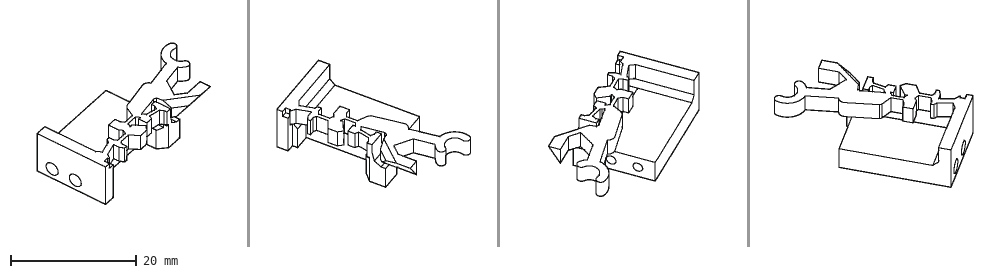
import cadquery as cq
import math

base_top = 4.0
arm_bottom = 5.0
top = 8.0

body_width = 13.63
wall_thickness = 2.08
wall_bevel = 0.95
wall_notch = 1.0
plate_width = 9.38
plate_end = 18.57
shelf_width = 12.2
pad_start = 15.58
pad_end = 19.98
pad_bevel_end = pad_start + body_width - shelf_width
back_corner_x = 8.55
overlap = 0.15

anchor_left = 10.57
anchor_front = 16.53
anchor_back = 17.47
post_front = 16.45
post_back = 17.9
flare_front = 15.65
flare_back = 19.15
flare_left = 9.32

lower_blade = (11.33, 11.98)
upper_blade = (9.68, 10.3)
anchor_blade = lower_blade

bent_blade_start = 2.65
crossbar_front = 5.13
crossbar_middle = 5.5
crossbar_back = 6.05
lower_blade_start = 6.35
lower_blade_end = 8.43
block_back = 10.17
upper_blade_start = 10.6
upper_blade_end = 12.6
anchor_blade_start = 14.1

finger_tip_x = 15.58
finger_end = 25.6
finger_bend = (finger_tip_x, 21.55)
finger_root = (12.98, 18.65)
finger_chamfer = 1.0

hook_center = (7.12, 29.02)
hook_inner_radius = 1.65
hook_outer_radius = 3.15
hook_tip_radius = (hook_outer_radius - hook_inner_radius) / 2
hook_mid_radius = (hook_outer_radius + hook_inner_radius) / 2
left_tip_angle = 161.0
right_tip_angle = 324.0
stem_left_angle = 259.5
stem_right_angle = 298.0

hole_places = (3.0, 7.6)
hole_height = 2.0
bore_radius = 1.2
exit_radius = 0.82
bore_depth = wall_thickness + wall_bevel
cone_slope = 30.0


def polar(center, radius, angle):
    """Point at a distance and a direction in degrees from a center."""
    turn = math.radians(angle)
    return (center[0] + radius * math.cos(turn), center[1] + radius * math.sin(turn))


def inner_point(angle):
    return polar(hook_center, hook_inner_radius, angle)


def outer_point(angle):
    return polar(hook_center, hook_outer_radius, angle)


def tip_point(angle, turn):
    """Farthest point of the round hook tip at an angle; the turn leads out along the hook's run."""
    return polar(polar(hook_center, hook_mid_radius, angle), hook_tip_radius, angle + turn)


def block(x_range, y_range, z_range):
    """Box between the given limits."""
    size = [high - low for low, high in (x_range, y_range, z_range)]
    corner = (x_range[0], y_range[0], z_range[0])
    return cq.Workplane("XY").box(*size, centered=False).translate(corner)


def make_base():
    """Plate with a pad at its back right corner that carries the post."""
    outline = [
        (0, 0),
        (plate_width, 0),
        (plate_width, pad_start),
        (shelf_width, pad_start),
        (body_width, pad_bevel_end),
        (body_width, pad_end),
        (back_corner_x + pad_end - plate_end, pad_end),
        (back_corner_x, plate_end),
        (0, plate_end),
    ]
    return cq.Workplane("XY").polyline(outline).close().extrude(base_top)


def make_wall():
    """Front wall, the beveled foot behind it and a square notch in its top back corner."""
    foot_profile = [
        (0, 0),
        (wall_thickness + wall_bevel, 0),
        (wall_thickness + wall_bevel, base_top),
        (wall_thickness, base_top + wall_bevel),
        (0, base_top + wall_bevel),
    ]
    foot = cq.Workplane("YZ").polyline(foot_profile).close().extrude(shelf_width)
    notch = block(
        (body_width - wall_notch, body_width),
        (wall_thickness - wall_notch, wall_thickness),
        (top - wall_notch, top),
    )
    return block((0, body_width), (0, wall_thickness), (0, top)).union(foot).cut(notch)


def make_linkage():
    """Flexure blades, blocks, arm, hook and finger, all cut from one layer."""
    outline = (
        cq.Workplane("XY", origin=(0, 0, arm_bottom))
        .moveTo(10.15, wall_thickness - overlap)
        .lineTo(10.15, wall_thickness)
        .lineTo(11.05, bent_blade_start)
        .lineTo(10.4, crossbar_front)
        .lineTo(9.85, crossbar_middle)
        .lineTo(9.85, crossbar_back)
        .lineTo(10.7, crossbar_back)
        .lineTo(lower_blade[0], lower_blade_start)
        .lineTo(lower_blade[0], lower_blade_end)
        .lineTo(10.6, 8.8)
        .lineTo(10.05, lower_blade_end)
        .lineTo(8.0, lower_blade_end)
        .lineTo(8.0, block_back)
        .lineTo(8.98, block_back)
        .lineTo(upper_blade[0], upper_blade_start)
        .lineTo(upper_blade[0], upper_blade_end)
        .lineTo(7.85, 13.53)
        .lineTo(7.58, 13.9)
        .lineTo(6.6, 19.55)
        .threePointArc((6.8, 20.2), (7.42, 20.65))
        .lineTo(*outer_point(stem_left_angle))
        .threePointArc(outer_point(210), outer_point(left_tip_angle))
        .threePointArc(tip_point(left_tip_angle, -90), inner_point(left_tip_angle))
        .threePointArc(inner_point(240), inner_point(right_tip_angle))
        .threePointArc(tip_point(right_tip_angle, 90), outer_point(right_tip_angle))
        .threePointArc(outer_point(310), outer_point(stem_right_angle))
        .lineTo(9.13, 22.55)
        .lineTo(12.07, 20.6)
        .lineTo(13.53, 22.2)
        .lineTo(13.53, finger_end)
        .lineTo(finger_tip_x, finger_end)
        .lineTo(*finger_bend)
        .lineTo(*finger_root)
        .lineTo(10.25, 18.25)
        .lineTo(10.05, 17.78)
        .lineTo(10.63, 13.75)
        .lineTo(11.05, 14.05)
        .lineTo(anchor_blade[0], anchor_blade_start)
        .lineTo(11.8, 16.15)
        .lineTo(11.18, anchor_front)
        .lineTo(anchor_left, anchor_front)
        .lineTo(anchor_left, anchor_back)
        .lineTo(body_width, anchor_back)
        .lineTo(body_width, anchor_front)
        .lineTo(13.08, anchor_front)
        .lineTo(12.4, 16.15)
        .lineTo(anchor_blade[1], anchor_blade_start)
        .lineTo(12.62, 13.78)
        .lineTo(12.62, 12.5)
        .lineTo(10.97, 12.5)
        .lineTo(10.97, 12.95)
        .lineTo(upper_blade[1], upper_blade_end)
        .lineTo(upper_blade[1], upper_blade_start)
        .lineTo(10.97, block_back)
        .lineTo(10.97, 10.63)
        .lineTo(12.9, 11.9)
        .lineTo(body_width, 11.12)
        .lineTo(body_width, 9.4)
        .lineTo(lower_blade[1], lower_blade_end)
        .lineTo(lower_blade[1], lower_blade_start)
        .lineTo(12.53, crossbar_back)
        .lineTo(13.38, crossbar_back)
        .lineTo(13.38, crossbar_middle)
        .lineTo(12.53, crossbar_front)
        .lineTo(11.43, crossbar_front)
        .lineTo(12.1, bent_blade_start)
        .lineTo(12.92, wall_thickness)
        .lineTo(12.92, wall_thickness - overlap)
        .close()
    )
    return outline.extrude(top - arm_bottom)


def shape_finger(linkage):
    """Chamfer the finger's slanted top edge and slope its underside up to a sharp outer edge."""
    slope_start = 13.5
    edge_middle = (
        (finger_root[0] + finger_bend[0]) / 2,
        (finger_root[1] + finger_bend[1]) / 2,
        top,
    )
    slanted_edge = cq.selectors.NearestToPointSelector(edge_middle)
    below_slope = (
        cq.Workplane("XZ", origin=(0, finger_root[1], 0))
        .polyline([(slope_start, arm_bottom), (finger_tip_x, arm_bottom), (finger_tip_x, top)])
        .close()
        .extrude(finger_root[1] - finger_end)
    )
    return linkage.edges(slanted_edge).chamfer(finger_chamfer).cut(below_slope)


def make_post():
    """Post under the fixed block, flared at its front, back and left where it meets the pad."""
    flare_top = 4.75
    front_flare_top = 4.45
    slant_top = 6.42
    profile = [
        (anchor_front, top),
        (anchor_back, top),
        (anchor_back, slant_top),
        (post_back, flare_top),
        (flare_back, base_top),
        (flare_back, base_top - overlap),
        (flare_front, base_top - overlap),
        (flare_front, base_top),
        (post_front, front_flare_top),
        (post_front, arm_bottom),
        (anchor_front, arm_bottom),
    ]
    post = (
        cq.Workplane("YZ", origin=(flare_left, 0, 0))
        .polyline(profile)
        .close()
        .extrude(body_width - flare_left)
    )
    left_of_flare = (
        cq.Workplane("XZ")
        .polyline([(flare_left, top), (anchor_left, top), (anchor_left, flare_top), (flare_left, base_top)])
        .close()
        .extrude(-pad_end)
    )
    beyond_pad = (
        cq.Workplane("XY")
        .polyline([(shelf_width, pad_start), (body_width, pad_bevel_end), (body_width, pad_start)])
        .close()
        .extrude(arm_bottom)
    )
    return post.cut(left_of_flare).cut(beyond_pad)


def make_screw_hole(x):
    """Bore from the front wall that narrows through a cone to a smaller hole out of the back."""
    cone_length = (bore_radius - exit_radius) * math.tan(math.radians(cone_slope))
    half_profile = [
        (0, 0),
        (bore_radius, 0),
        (bore_radius, bore_depth),
        (exit_radius, bore_depth + cone_length),
        (exit_radius, pad_end),
        (0, pad_end),
    ]
    hole = cq.Workplane("XY").polyline(half_profile).close().revolve(360, (0, 0, 0), (0, 1, 0))
    return hole.translate((x, 0, hole_height))


result = make_base().union(make_wall()).union(make_post()).union(shape_finger(make_linkage()))
for hole_x in hole_places:
    result = result.cut(make_screw_hole(hole_x))